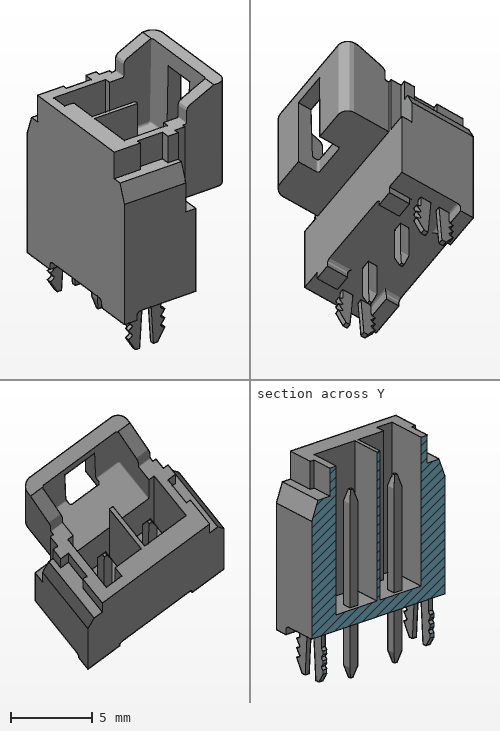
import cadquery as cq

overall_height = 17.15

body_width = 10.6
body_depth = 5.35
body_height = 11.83
shoulder_width = 9.64
shoulder_height = body_height - 1.9
slope_bottom = shoulder_height - 1.3

collar_front_half = 4.18
collar_waist_half = 3.88
collar_rib_half = 4.48
collar_rear_half = 4.12
waist_start = 1.95
rib_start = 3.82
rear_start = 4.6

guard_half_width = collar_waist_half
guard_back = 8.66
guard_top = 13.95
guard_bottom = 6.55
guard_wall = 0.93
guard_wall_foot = 1.05
guard_corner_radius = 0.74
guard_slope_start = 1.0
guard_cheek_front = 5.63
guard_slope_drop = 0.96
cheek_nose_radius = 0.5
cheek_foot_radius = 0.1
pocket_half_width = 2.95
pocket_floor = 7.87
pocket_fillet = 0.19

window_width = 2.32
window_top = body_height + 1.0
window_reach = 0.46
window_corner_radius = 0.15

cavity_half_width = 3.36
cavity_front = 1.32
cavity_back = 4.55
cavity_floor = 1.72
divider_thickness = 0.27
key_width = 1.2
key_front = 0.65

foot_height = 0.6
foot_inner_half = 2.81
front_foot_depth = 0.95
rear_foot_start = 3.85
rear_foot_outer_half = 3.95
foot_root_radius = 0.3
rear_root_radius = 0.14

pin_pitch = 3.5
pin_depth = 2.92
pin_size = 0.63
pin_tip_size = 0.2
pin_taper = 0.82
pin_top = 9.6
pin_bottom = guard_top - overall_height

clip_spacing = 8.5
clip_thickness = 0.33
clip_centre_depth = 2.26
clip_leg_outer = 1.06
clip_barb_outer = 1.37
clip_tip_outer = 0.82
clip_slot_half_top = 0.3
clip_slot_half_tip = 0.51
clip_bottom = -2.71
clip_embedding = 0.17
clip_root = foot_height + clip_embedding
first_barb = -0.5
barb_pitch = 0.65
barb_rise = 0.22
barb_hollow = 0.05
barb_count = 3


def box(x0, x1, y0, y1, z0, z1):
    return cq.Workplane("XY").box(x1 - x0, y1 - y0, z1 - z0, centered=False).translate((x0, y0, z0))


def centred_box(half_width, y0, y1, z0, z1):
    return box(-half_width, half_width, y0, y1, z0, z1)


def make_housing():
    half = body_width / 2
    shoulder_half = shoulder_width / 2
    front_part = (
        cq.Workplane("XZ")
        .polyline([
            (-half, foot_height), (half, foot_height), (half, slope_bottom),
            (shoulder_half, shoulder_height), (-shoulder_half, shoulder_height), (-half, slope_bottom),
        ])
        .close()
        .extrude(-rear_start)
    )
    rear_part = centred_box(half, rear_start, body_depth, foot_height, guard_bottom)
    housing = front_part.union(rear_part)

    collar_steps = [
        (collar_front_half, 0, waist_start),
        (collar_waist_half, waist_start, rib_start),
        (collar_rib_half, rib_start, rear_start),
        (collar_rear_half, rear_start, body_depth),
    ]
    for half_width, start, end in collar_steps:
        housing = housing.union(centred_box(half_width, start, end, guard_bottom, body_height))
    return housing


def make_feet():
    half = body_width / 2
    base = centred_box(half, 0, body_depth, 0, foot_height)
    side_gap = (
        centred_box(half, front_foot_depth, rear_foot_start, -foot_height, foot_height)
        .edges("|X and >Z and <Y").fillet(foot_root_radius)
        .edges("|X and >Z and >Y").fillet(rear_root_radius)
    )
    middle_gap = (
        centred_box(foot_inner_half, 0, body_depth, -foot_height, foot_height)
        .edges("|Y and >Z").fillet(foot_root_radius)
    )
    feet = base.cut(side_gap).cut(middle_gap)
    recess_start = rear_foot_start - rear_root_radius
    for x0, x1 in [(-half, -rear_foot_outer_half), (rear_foot_outer_half, half)]:
        feet = feet.cut(box(x0, x1, recess_start, body_depth, 0, foot_height))
    return feet


def make_guard():
    guard = centred_box(guard_half_width, rear_start, guard_back, guard_bottom, guard_top)
    guard = guard.edges("|Z and >Y").fillet(guard_corner_radius)

    slope_back = guard_back - guard_slope_start
    above_cheeks = (
        cq.Workplane("YZ")
        .polyline([
            (0, body_height), (guard_cheek_front, body_height),
            (guard_cheek_front, guard_top - guard_slope_drop), (slope_back, guard_top), (0, guard_top),
        ])
        .close()
        .extrude(guard_half_width, both=True)
    )
    nose = (guard_cheek_front, guard_top - guard_slope_drop)
    foot = (guard_cheek_front, body_height)
    for (y, z), radius in [(nose, cheek_nose_radius), (foot, cheek_foot_radius)]:
        corner = cq.NearestToPointSelector((0, y, z))
        above_cheeks = above_cheeks.edges("|X").edges(corner).fillet(radius)
    return guard.cut(above_cheeks)


def make_latch_pocket():
    pocket = (
        cq.Workplane("YZ")
        .polyline([
            (cavity_back, pocket_floor), (guard_back - guard_wall_foot, pocket_floor),
            (guard_back - guard_wall, guard_top), (cavity_back, guard_top),
        ])
        .close()
        .extrude(pocket_half_width, both=True)
    )
    back_edges = pocket.faces(">Y").edges("not >Z")
    floor_sides = pocket.edges("|Y and <Z")
    return back_edges.add(floor_sides).fillet(pocket_fillet)


def make_window():
    front = guard_back - guard_wall_foot - window_reach
    window = centred_box(window_width / 2, front, guard_back, guard_bottom, window_top)
    return window.edges("|Z and <Y").fillet(window_corner_radius)


def make_cavities():
    cavities = centred_box(cavity_half_width, cavity_front, cavity_back, cavity_floor, body_height)
    key_end = key_width - cavity_half_width
    key = box(-cavity_half_width, key_end, key_front, cavity_front, cavity_floor, body_height)
    divider = centred_box(divider_thickness / 2, cavity_front, cavity_back, cavity_floor, body_height)
    return cavities.union(key).cut(divider)


def make_pin(x):
    shank_bottom = pin_bottom + pin_taper
    shank_top = pin_top - pin_taper
    shank = (
        cq.Workplane("XY", origin=(x, pin_depth, shank_bottom))
        .rect(pin_size, pin_size).extrude(shank_top - shank_bottom)
    )
    for root, rise in [(shank_bottom, -pin_taper), (shank_top, pin_taper)]:
        tip = (
            cq.Workplane("XY", origin=(x, pin_depth, root))
            .rect(pin_size, pin_size)
            .workplane(offset=rise).rect(pin_tip_size, pin_tip_size)
            .loft()
        )
        shank = shank.union(tip)
    return shank


def make_clip(x):
    outline = (
        cq.Workplane("YZ")
        .moveTo(clip_slot_half_tip, clip_bottom)
        .lineTo(clip_slot_half_top, clip_root)
        .lineTo(clip_leg_outer, clip_root)
    )
    for barb in range(barb_count):
        point = first_barb - barb * barb_pitch
        outline = (
            outline.lineTo(clip_leg_outer, point + barb_rise)
            .sagittaArc((clip_barb_outer, point), -barb_hollow)
        )
    outline = outline.lineTo(clip_tip_outer, clip_bottom).close()
    leg = outline.extrude(clip_thickness / 2, both=True)
    return leg.union(leg.mirror("XZ")).translate((x, clip_centre_depth, 0))


result = make_housing().union(make_feet()).union(make_guard())
result = result.cut(make_latch_pocket()).cut(make_window()).cut(make_cavities())
for side in (-1, 1):
    result = result.union(make_pin(side * pin_pitch / 2))
    result = result.union(make_clip(side * clip_spacing / 2))